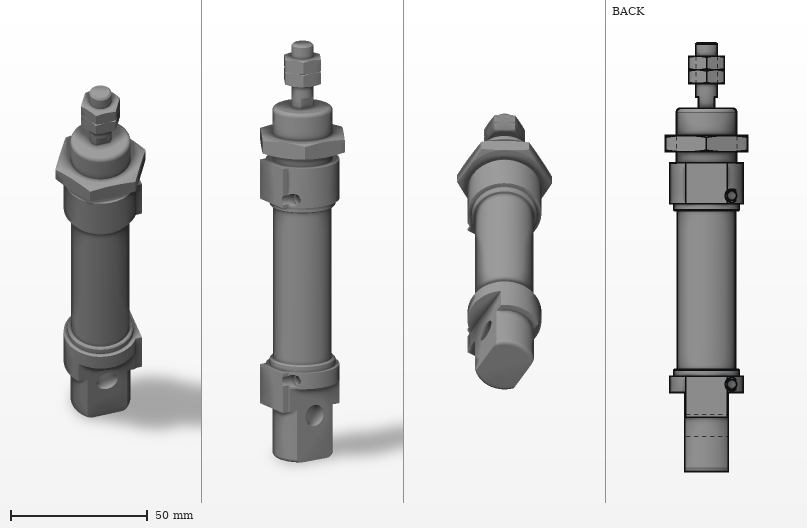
import cadquery as cq
import math


total_height = 157.0
fork_top = 20.0
flat_top = 29.0
rear_cap_top = 35.0
rear_collar_top = 37.5
front_collar_bottom = 95.5
front_cap_bottom = 98.0
front_cap_top = 113.0
mount_nut_bottom = 117.0
neck_top = 133.0
rod_flat_top = 137.0
lock_nut_bottom = 142.0

neck_diameter = 22.0
cap_diameter = 27.0
collar_diameter = 24.0
tube_diameter = 21.4
neck_fillet = 1.5
fork_fillet = 1.5
collar_chamfer = 0.4
fork_width = 16.0
pin_hole_diameter = 8.0
pin_hole_height = 17.0

pad_width = 15.2
pad_reach = cap_diameter / 2
port_diameter = 4.8
port_offset = 9.25
port_depth = 5.3
passage_diameter = 3.5
passage_depth = 7.5
front_port_height = 101.0
rear_port_height = 32.0

rod_diameter = 8.0
rod_tip_diameter = 6.65
rod_flat_width = 6.0

mount_nut_width = 30.0
mount_nut_height = 6.0
mount_nut_bevel_angle = 15.0
lock_nut_width = 13.0
lock_nut_height = 5.0
lock_nut_bevel_angle = 20.0
lock_nut_count = 2


def cylinder(diameter, bottom, top):
    return cq.Workplane("XY").workplane(offset=bottom).circle(diameter / 2).extrude(top - bottom)


def block(width, y_start, y_end, bottom, top):
    """Box centred on X, between two Y positions and two levels."""
    size = (width, y_end - y_start, top - bottom)
    return cq.Workplane("XY").box(*size, centered=(True, False, False)).translate((0, y_start, bottom))


def cap(bottom, top):
    """Round cap with the flat-sided port pad on its +Y side."""
    pad = block(pad_width, 0, pad_reach, bottom, top)
    return cylinder(cap_diameter, bottom, top).union(pad)


def outside_flats(width, bottom, top):
    """Material to remove on both X sides, leaving parallel flats that far apart."""
    envelope = cylinder(2 * cap_diameter, bottom, top)
    return envelope.cut(block(width, -cap_diameter, cap_diameter, bottom, top))


def hole_from_pad(diameter, depth, height):
    """Blind hole along Y, drilled from the plane of the pad face."""
    start = cq.Workplane("XZ", origin=(-port_offset, pad_reach, height))
    return start.circle(diameter / 2).extrude(depth)


def port(height):
    """Stepped hole that breaks out sideways through the -X side of the cap."""
    mouth = hole_from_pad(port_diameter, port_depth, height)
    return mouth.union(hole_from_pad(passage_diameter, passage_depth, height))


def make_housing():
    fork = cylinder(neck_diameter, 0, fork_top).faces("<Z").edges().fillet(fork_fillet)
    rear_collar = cylinder(collar_diameter, rear_cap_top, rear_collar_top)
    rear_collar = rear_collar.faces(">Z").edges().chamfer(collar_chamfer)
    tube = cylinder(tube_diameter, rear_collar_top, front_collar_bottom)
    front_collar = cylinder(collar_diameter, front_collar_bottom, front_cap_bottom)
    front_collar = front_collar.faces("<Z").edges().chamfer(collar_chamfer)
    neck = cylinder(neck_diameter, front_cap_top, neck_top).faces(">Z").edges().fillet(neck_fillet)

    body = fork.union(cap(fork_top, rear_cap_top)).union(rear_collar).union(tube)
    body = body.union(front_collar).union(cap(front_cap_bottom, front_cap_top)).union(neck)

    pin_hole = (
        cq.Workplane("YZ", origin=(0, 0, pin_hole_height))
        .circle(pin_hole_diameter / 2)
        .extrude(fork_width, both=True)
    )
    body = body.cut(outside_flats(fork_width, 0, flat_top)).cut(pin_hole)
    return body.cut(port(rear_port_height)).cut(port(front_port_height))


def make_rod():
    tip_chamfer = (rod_diameter - rod_tip_diameter) / 2
    rod = cylinder(rod_diameter, neck_top, total_height).faces(">Z").edges().chamfer(tip_chamfer)
    return rod.cut(outside_flats(rod_flat_width, neck_top, rod_flat_top))


def make_hex_nut(width, height, bore, bevel_angle):
    """Nut with flats facing X and corners on Y, its corners bevelled at both ends."""
    corner_radius = width / math.sqrt(3)
    bevel = (corner_radius - width / 2) * math.tan(math.radians(bevel_angle))
    bevelled_disc = (
        cq.Workplane("XZ")
        .moveTo(0, 0)
        .lineTo(width / 2, 0)
        .lineTo(corner_radius, bevel)
        .lineTo(corner_radius, height - bevel)
        .lineTo(width / 2, height)
        .lineTo(0, height)
        .close()
        .revolve(360, (0, 0), (0, 1))
    )
    prism = (
        cq.Workplane("XY")
        .polygon(6, 2 * corner_radius)
        .extrude(height)
        .rotate((0, 0, 0), (0, 0, 1), 90)
    )
    return prism.intersect(bevelled_disc).cut(cylinder(bore, 0, height))


housing = make_housing()
rod = make_rod()
mount_nut = make_hex_nut(mount_nut_width, mount_nut_height, neck_diameter, mount_nut_bevel_angle)
mount_nut = mount_nut.translate((0, 0, mount_nut_bottom))

lock_nuts = []
for index in range(lock_nut_count):
    lock_nut = make_hex_nut(lock_nut_width, lock_nut_height, rod_diameter, lock_nut_bevel_angle)
    lock_nut = lock_nut.translate((0, 0, lock_nut_bottom + index * lock_nut_height))
    lock_nuts.append(lock_nut.val())

result = cq.Compound.makeCompound([housing.val(), rod.val(), mount_nut.val(), *lock_nuts])